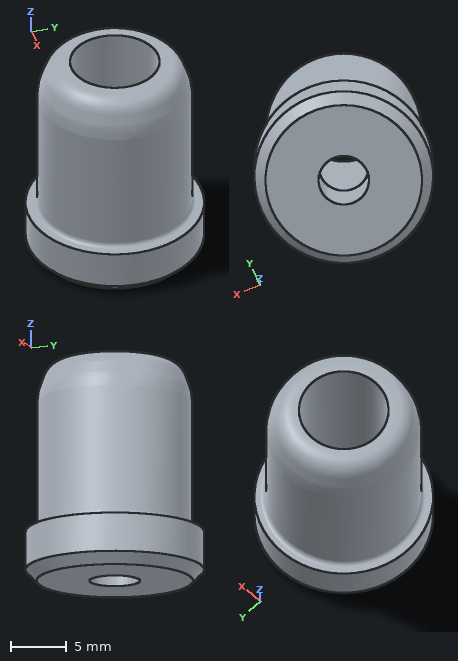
import cadquery as cq
import math

height = 20.0
flange_radius = 16.0 / 2
flange_height = 4.5
flange_chamfer = 1.0
body_radius = 13.9 / 2
root_fillet = 0.5
rim_radius = 9.0 / 2
bore_radius = 8.0 / 2
hole_radius = 4.5 / 2
floor_thickness = flange_height

rim_round = 1.95
shoulder_round = 4.0
cone_angle = math.radians(20.0)


def arc_point(center, radius, angle):
    """Point (r, z) on a circle, with the angle measured up from the radial direction."""
    return (center[0] + radius * math.cos(angle), center[1] + radius * math.sin(angle))


rim_center = (rim_radius, height - rim_round)
cone_top = arc_point(rim_center, rim_round, cone_angle)
rim_middle = arc_point(rim_center, rim_round, (cone_angle + math.pi / 2) / 2)

shoulder_center_r = body_radius - shoulder_round
cone_bottom_r = shoulder_center_r + shoulder_round * math.cos(cone_angle)
cone_bottom_z = cone_top[1] - (cone_bottom_r - cone_top[0]) / math.tan(cone_angle)
shoulder_z = cone_bottom_z - shoulder_round * math.sin(cone_angle)
shoulder_center = (shoulder_center_r, shoulder_z)
shoulder_middle = arc_point(shoulder_center, shoulder_round, cone_angle / 2)

root_center = (body_radius + root_fillet, flange_height + root_fillet)
root_middle = arc_point(root_center, root_fillet, math.radians(225.0))

half_section = (
    cq.Workplane("XZ")
    .moveTo(hole_radius, 0)
    .lineTo(flange_radius - flange_chamfer, 0)
    .lineTo(flange_radius, flange_chamfer)
    .lineTo(flange_radius, flange_height)
    .lineTo(root_center[0], flange_height)
    .threePointArc(root_middle, (body_radius, root_center[1]))
    .lineTo(body_radius, shoulder_z)
    .threePointArc(shoulder_middle, (cone_bottom_r, cone_bottom_z))
    .lineTo(*cone_top)
    .threePointArc(rim_middle, (rim_radius, height))
    .lineTo(bore_radius, height)
    .lineTo(bore_radius, floor_thickness)
    .lineTo(hole_radius, floor_thickness)
    .close()
)

result = half_section.revolve(360, (0, 0, 0), (0, 1, 0))